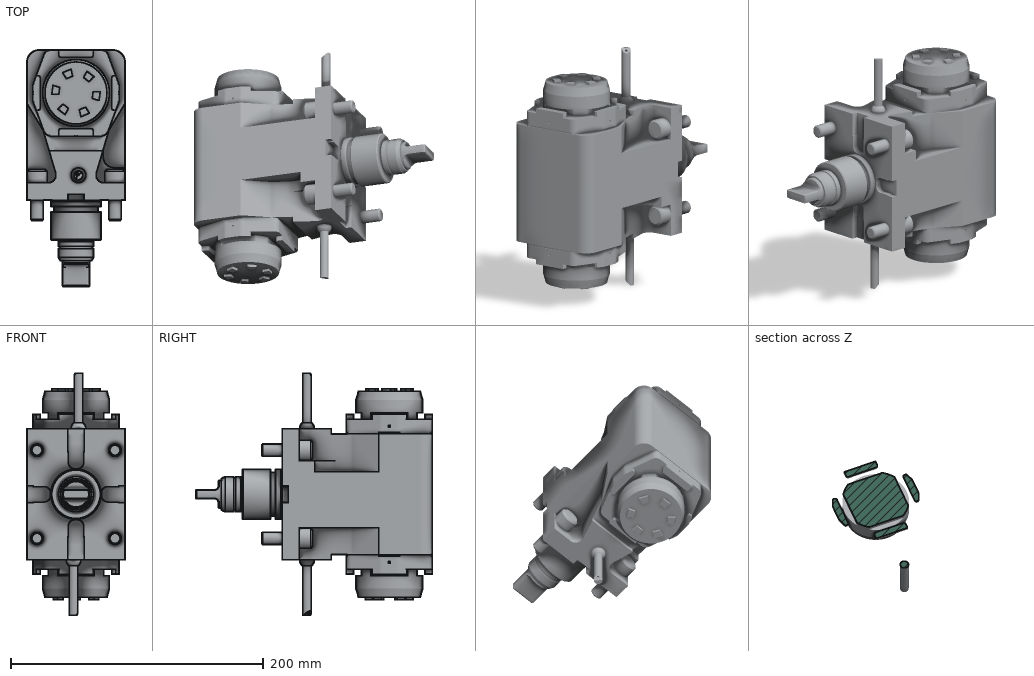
import cadquery as cq
import math


body_width = 78.0
body_depth = 119.2
body_height = 95.6
body_corner_radius = 10.0
front_height = 104.0
front_depth = 39.2

pocket_start_y = 76.8
pocket_bend = (26.1, 55.5)
pocket_bend_radius = 5.8
pocket_seat = (13.8, 13.8)
pocket_seat_radius = 6.1
pocket_floor_z = 26.5
deep_wall_x = 21.7
deep_seat_y = 26.0
deep_seat_radius = 8.0
deep_floor_z = 17.9

slot_depth = 4.8
slot_mouth_width = 13.5
slot_width = 12.3
slot_step = 33.8
slot_end = 20.4
slot_corner_radius = 4.8

bolt_x = 31.0
bolt_z = 35.0
bolt_diameter = 10.0
bolt_reach = 16.1
bolt_chamfer = 1.0
bolt_head_diameter = 16.0
bolt_head_length = 10.5
bolt_head_chamfer = 1.5

pipe_x = 2.0
pipe_y = 19.8
pipe_diameter = 7.0
pipe_end_z = 96.0
nozzle_diameter = 2.1
nozzle_depth = 2.0
ball_diameter = 11.7
ball_center_z = front_height / 2

flange_size = 68.4
head_center_y = body_depth - flange_size / 2
flange_side_flat = 13.5
flange_end_flat = 48.0
flange_edge_radius = 5.8
flange_top_z = 59.5
spacer_top_z = 49.0
spacer_inset = 0.5
lug_width = 27.3
lug_depth = 6.0
lug_top_z = 63.4
lug_corner_radius = 2.0
dimple_diameter = 1.7
dimple_depth = 1.0
dimple_z = 54.0
cap_diameter = 53.0
cap_face_diameter = 49.2
cap_base_width = 44.2
cap_base_top_z = 64.5
cap_taper_z = 74.9
cap_top_z = 81.8

end_lug_count = 6
end_lug_orbit = 16.1
end_lug_length = 5.5
end_lug_inner_width = 5.4
end_lug_outer_width = 7.1
end_lug_height = 2.0
upper_lug_angle = 52.5
lower_lug_angle = 30.0

collar_diameter = 40.0
collar_step_diameter = 38.4
collar_step = 0.8
collar_end = 5.2
collar_chamfer = 0.4
collar_groove_diameter = 35.1
collar_groove_end = 9.0
barrel_end = 31.7
barrel_chamfer = 0.8
neck_diameter = 25.0
neck_end = 32.8
shank_diameter = 28.0
shank_groove_diameter = 26.5
shank_groove_start = 36.7
shank_groove_end = 38.4
shank_taper_start = 45.1
shank_end = 48.0
shank_taper = 1.5

tang_diameter = 22.0
tang_end = 68.5
tang_shoulder = 50.7
tang_thickness = 7.3
tang_shoulder_chamfer = 1.0
tang_cove_radius = 2.3
tang_tip_chamfer = 1.0
tang_bevel_start = 8.5
tang_bevel_drop = 0.5


def turned_half(shape):
    """Shape turned half a turn about the spindle axis."""
    return shape.rotate((0, 0, 0), (0, 1, 0), 180)


def centered_box(width, height, depth, start_y):
    """Box centred on the spindle axis in X and Z that runs from start_y towards +Y."""
    box = cq.Workplane("XY").box(width, depth, height, centered=(True, False, True))
    return box.translate((0, start_y, 0))


def make_body():
    rear = centered_box(body_width, body_height, body_depth, 0)
    rear = rear.edges("|Z and >Y").fillet(body_corner_radius)
    return rear.union(centered_box(body_width, front_height, front_depth, 0))


def round_upright_edge(solid, corner, radius):
    """Fillet the vertical edge nearest to an XY corner."""
    height = solid.val().Center().z
    nearest = cq.selectors.NearestToPointSelector((*corner, height))
    return solid.edges("|Z").edges(nearest).fillet(radius)


def pocket_above(floor_z, wall_corners, corner_radius):
    """Pocket on the +X side, open outwards and upwards, whose inner wall ends on a seat facing +Y."""
    edge_x = body_width / 2
    seat_y = wall_corners[-1][1]
    outline = [(edge_x, pocket_start_y), pocket_bend, *wall_corners, (edge_x, seat_y)]
    base = cq.Workplane("XY", origin=(0, 0, floor_z))
    pocket = base.polyline(outline).close().extrude(front_height / 2 - floor_z)
    pocket = round_upright_edge(pocket, pocket_bend, pocket_bend_radius)
    for corner in wall_corners:
        pocket = round_upright_edge(pocket, corner, corner_radius)
    return pocket


def make_pockets():
    """Shallow pockets on all four corners, with two of them deepened behind the bolts."""
    bend_x, bend_y = pocket_bend
    seat_x, seat_y = pocket_seat
    slope = (bend_y - seat_y) / (bend_x - seat_x)
    deep_wall_start = (deep_wall_x, bend_y - slope * (bend_x - deep_wall_x))

    shallow = pocket_above(pocket_floor_z, [pocket_seat], pocket_seat_radius)
    deep_corners = [deep_wall_start, (deep_wall_x, deep_seat_y)]
    deep = pocket_above(deep_floor_z, deep_corners, deep_seat_radius)
    upper = shallow.union(shallow.mirror("YZ")).union(deep)
    return upper, turned_half(upper)


def make_slot(angle, edge):
    """Stepped slot running from an edge of the front face towards the spindle."""
    mouth = cq.Workplane("XY", origin=(0, 0, slot_step))
    mouth = mouth.box(slot_mouth_width, slot_depth, edge - slot_step, centered=(True, False, False))
    inner = cq.Workplane("XY", origin=(0, 0, slot_end))
    inner = inner.box(slot_width, slot_depth, slot_step - slot_end, centered=(True, False, False))
    inner = inner.edges("|Y and <Z").fillet(slot_corner_radius)
    return mouth.union(inner).rotate((0, 0, 0), (0, 1, 0), angle)


def make_bolt(x, z):
    shank = cq.Workplane("XZ", origin=(x, pocket_seat[1], z))
    shank = shank.circle(bolt_diameter / 2).extrude(pocket_seat[1] + bolt_reach)
    head = cq.Workplane("XZ", origin=(x, pocket_seat[1], z))
    head = head.circle(bolt_head_diameter / 2).extrude(-bolt_head_length)
    return shank.faces("<Y").chamfer(bolt_chamfer).union(head.faces(">Y").chamfer(bolt_head_chamfer))


def make_pipe():
    """Upper coolant pipe on its ball seat, with the tip cut off at 45 degrees."""
    foot = cq.Workplane("XY", origin=(pipe_x, pipe_y, body_height / 2))
    pipe = foot.circle(pipe_diameter / 2).extrude(pipe_end_z - body_height / 2)
    tip = cq.Workplane(cq.Plane((pipe_x, pipe_y, pipe_end_z), (1, 1, 0), (-1, 1, math.sqrt(2))))
    pipe = pipe.cut(tip.rect(2 * pipe_diameter, 2 * pipe_diameter).extrude(pipe_diameter))
    tip_middle = pipe_diameter / 4 * math.sqrt(2)
    pipe = pipe.cut(tip.center(0, tip_middle).circle(nozzle_diameter / 2).extrude(-nozzle_depth))
    ball = cq.Workplane("XY", origin=(pipe_x, pipe_y, ball_center_z)).sphere(ball_diameter / 2)
    return pipe.union(ball)


def head_level(z):
    """Work plane on the axis of the upper head."""
    return cq.Workplane("XY", origin=(0, head_center_y, z))


def make_flange():
    """Eight-sided flange on a slightly smaller spacer, with a lug on each of its four long sides."""
    half = flange_size / 2
    side = flange_side_flat / 2
    end = flange_end_flat / 2
    right = [(end, -half), (half, -side), (half, side), (end, half)]
    outline = right + [(-x, -y) for x, y in right]

    def prism(start_z, end_z):
        block = head_level(start_z).polyline(outline).close().extrude(end_z - start_z)
        return block.edges("|Z").fillet(flange_edge_radius)

    spacer_size = flange_size - 2 * spacer_inset
    spacer = prism(body_height / 2, spacer_top_z)
    spacer = spacer.intersect(head_level(body_height / 2).rect(spacer_size, spacer_size).extrude(cap_top_z))

    lug_height = lug_top_z - flange_top_z
    lug_center = half - lug_depth + lug_width / 2
    lugs = head_level(flange_top_z).polarArray(lug_center, 0, 360, 4)
    lugs = lugs.rect(lug_width, lug_width).extrude(lug_height).edges("|Z").fillet(lug_corner_radius)
    lugs = lugs.intersect(prism(flange_top_z, lug_top_z))

    flange = spacer.union(prism(spacer_top_z, flange_top_z)).union(lugs)
    dimples = head_level(dimple_z).polarArray(half - dimple_depth, 0, 360, 4)
    dimple = cq.Solid.makeCylinder(dimple_diameter / 2, dimple_depth, dir=cq.Vector(1, 0, 0))
    return flange.cut(dimples.eachpoint(dimple, useLocalCoordinates=True))


def make_cap():
    """Round cap with a tapered rim, cut square just above the flange."""
    drum = head_level(flange_top_z).circle(cap_diameter / 2).extrude(cap_taper_z - flange_top_z)
    rim = head_level(cap_taper_z).circle(cap_diameter / 2)
    rim = rim.workplane(offset=cap_top_z - cap_taper_z).circle(cap_face_diameter / 2).loft(ruled=True)
    base_height = cap_base_top_z - flange_top_z
    around = head_level(flange_top_z).rect(flange_size, flange_size).rect(cap_base_width, cap_base_width)
    return drum.union(rim).cut(around.extrude(base_height))


def make_end_lugs(first_angle):
    inner = -end_lug_length / 2
    outer = end_lug_length / 2
    wedge = [
        (inner, -end_lug_inner_width / 2),
        (outer, -end_lug_outer_width / 2),
        (outer, end_lug_outer_width / 2),
        (inner, end_lug_inner_width / 2),
    ]
    lug = cq.Workplane("XY").polyline(wedge).close().extrude(end_lug_height).val()
    places = head_level(cap_top_z).polarArray(end_lug_orbit, first_angle, 360, end_lug_count)
    return places.eachpoint(lug, useLocalCoordinates=True)


def make_spindle():
    """Stepped body of revolution up to the shoulder of the tang."""
    collar = collar_diameter / 2
    groove = collar_groove_diameter / 2
    neck = neck_diameter / 2
    shank = shank_diameter / 2
    shank_groove = shank_groove_diameter / 2
    profile = [
        (0, slot_depth),
        (collar_step_diameter / 2, slot_depth),
        (collar_step_diameter / 2, -collar_step),
        (collar - collar_chamfer, -collar_step),
        (collar, -collar_step - collar_chamfer),
        (collar, -collar_end + collar_chamfer),
        (collar - collar_chamfer, -collar_end),
        (groove, -collar_end),
        (groove, -collar_groove_end),
        (collar - collar_chamfer, -collar_groove_end),
        (collar, -collar_groove_end - collar_chamfer),
        (collar, -barrel_end + barrel_chamfer),
        (collar - barrel_chamfer, -barrel_end),
        (neck, -barrel_end),
        (neck, -neck_end),
        (shank, -neck_end),
        (shank, -shank_groove_start),
        (shank_groove, -shank_groove_start),
        (shank_groove, -shank_groove_end),
        (shank, -shank_groove_end),
        (shank, -shank_taper_start),
        (shank - shank_taper, -shank_end),
        (0, -shank_end),
    ]
    return cq.Workplane("XY").polyline(profile).close().revolve(360, (0, 0, 0), (0, 1, 0))


def make_tang():
    """Round bar reduced to a bevelled flat that meets its chamfered shoulder in a cove."""
    radius = tang_diameter / 2
    base = cq.Workplane("XZ", origin=(0, -shank_end, 0))
    shoulder = base.circle(radius).extrude(tang_shoulder - shank_end).faces("<Y").chamfer(tang_shoulder_chamfer)
    bar = base.circle(radius).extrude(tang_end - shank_end).faces("<Y").chamfer(tang_tip_chamfer)

    flat = tang_thickness / 2
    cove_top = flat + tang_cove_radius
    cove_end = tang_shoulder + tang_cove_radius
    edge = flat - tang_bevel_drop
    waste_start = tang_shoulder - tang_shoulder_chamfer
    waste = cq.Workplane("YZ", origin=(-radius, 0, 0)).moveTo(-waste_start, radius)
    waste = waste.lineTo(-waste_start, cove_top).lineTo(-tang_shoulder, cove_top)
    waste = waste.radiusArc((-cove_end, flat), tang_cove_radius)
    waste = waste.lineTo(tang_tip_chamfer - tang_end, flat).lineTo(-tang_end, edge)
    waste = waste.lineTo(-tang_end, radius).close().extrude(2 * radius)

    bevel_outline = [(tang_bevel_start, flat), (radius, edge), (radius, flat)]
    bevel = cq.Workplane("XZ", origin=(0, -cove_end, 0)).polyline(bevel_outline).close()
    bevel = bevel.extrude(tang_end - cove_end)
    waste = waste.union(bevel).union(bevel.mirror("YZ"))
    return bar.cut(waste).cut(turned_half(waste)).union(shoulder)


result = make_body()
for pocket in make_pockets():
    result = result.cut(pocket)
for angle in (0, 90, 180, 270):
    edge = front_height / 2 if angle % 180 == 0 else body_width / 2
    result = result.cut(make_slot(angle, edge))
for x in (-bolt_x, bolt_x):
    for z in (-bolt_z, bolt_z):
        result = result.union(make_bolt(x, z))

upper_parts = make_pipe().union(make_flange()).union(make_cap())
result = result.union(upper_parts).union(turned_half(upper_parts))
result = result.union(make_end_lugs(upper_lug_angle))
result = result.union(turned_half(make_end_lugs(lower_lug_angle)))
result = result.union(make_spindle()).union(make_tang())